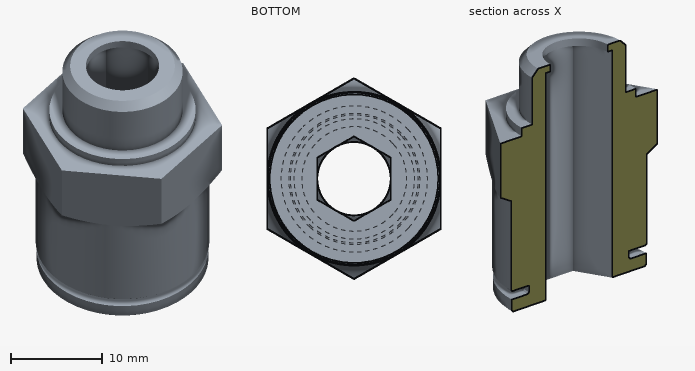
import cadquery as cq
import math

ring_top = 1.57
body_bottom = 2.5
hex_bottom = 13.5
hex_top = 20.98
collar_top = 21.97
total_height = 28.5

across_flats = 19.0
body_diameter = across_flats
ring_diameter = 18.8
neck_diameter = 14.0
collar_diameter = 16.0
stud_diameter = 13.17
stud_chamfer = 0.85
edge_chamfer = 0.2
neck_flare = 0.17
hex_chamfer_angle = 30.0

bore_diameter = 8.0
mouth_depth = 0.9


def cylinder(diameter, bottom, top):
    return cq.Workplane("XY").workplane(offset=bottom).circle(diameter / 2).extrude(top - bottom)


def hexagon(flats, bottom, top):
    """Hexagonal prism with two of its flats facing +X and -X."""
    corner_diameter = flats / math.cos(math.pi / 6)
    prism = cq.Workplane("XY").workplane(offset=bottom).polygon(6, corner_diameter).extrude(top - bottom)
    return prism.rotate((0, 0, 0), (0, 0, 1), 30)


def chamfered_hexagon():
    """Wrench hexagon whose lower corners are cut back by a cone."""
    cone_bottom_radius = across_flats / 2
    height = hex_top - hex_bottom
    cone_top_radius = cone_bottom_radius + height / math.tan(math.radians(hex_chamfer_angle))
    cone = (
        cq.Workplane("XZ")
        .moveTo(0, hex_bottom)
        .lineTo(cone_bottom_radius, hex_bottom)
        .lineTo(cone_top_radius, hex_top)
        .lineTo(0, hex_top)
        .close()
        .revolve(360, (0, 0, 0), (0, 1, 0))
    )
    return hexagon(across_flats, hex_bottom, hex_top).intersect(cone)


def release_ring():
    """Flanged ring with a neck that flares slightly where it meets the flange."""
    flange = cylinder(ring_diameter, 0, ring_top).faces("<Z").chamfer(edge_chamfer)
    neck = cylinder(neck_diameter, ring_top, body_bottom)
    flare = (
        cq.Workplane("XY")
        .workplane(offset=ring_top)
        .circle(neck_diameter / 2 + neck_flare)
        .workplane(offset=neck_flare)
        .circle(neck_diameter / 2)
        .loft()
    )
    return flange.union(neck).union(flare)


body = cylinder(body_diameter, body_bottom, hex_bottom).faces("<Z").chamfer(edge_chamfer)
collar = cylinder(collar_diameter, hex_top, collar_top)
stud = cylinder(stud_diameter, collar_top, total_height).faces(">Z").chamfer(stud_chamfer)

outside = release_ring().union(body).union(chamfered_hexagon()).union(collar).union(stud)

socket_top = total_height - mouth_depth
mouth = cylinder(bore_diameter, socket_top, total_height)
key_socket = hexagon(bore_diameter, 0, socket_top)

result = outside.cut(mouth).cut(key_socket)